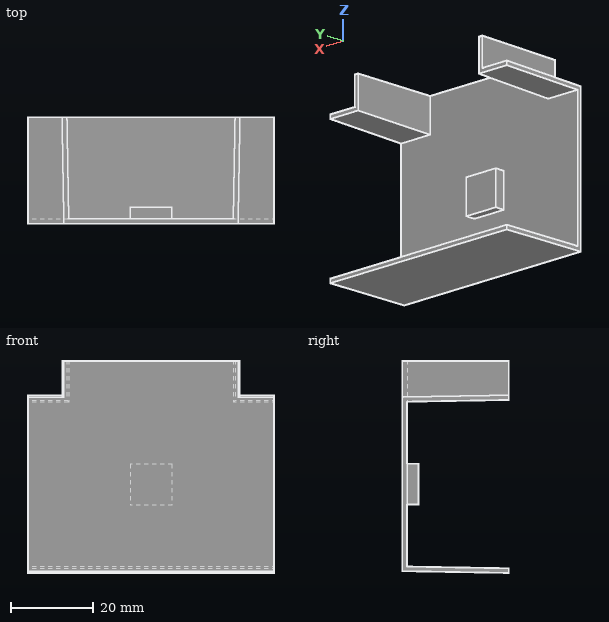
import cadquery as cq

length = 60.0
depth = 26.0
height = 51.7
open_width = 43.4
plate_width = 42.5
wall = 1.2
pad_side = 10.0
pad_height = 2.8

taper = (open_width - plate_width) / (2 * depth)
axis_z = open_width / 2


def half_width(y):
    """Outer half width of a channel at distance y from the front face."""
    return plate_width / 2 + taper * y


def section(plane, y_start, inset):
    """Trapezoid from y_start to the open edges, inset from the outer sides."""
    near = half_width(y_start) - inset
    far = half_width(depth) - inset
    outline = [(-near, y_start), (near, y_start), (far, depth), (-far, depth)]
    return cq.Workplane(plane).polyline(outline).close()


def tee(y_start, inset):
    """Straight and branch prisms joined into one tapered T."""
    straight_plane = cq.Plane(origin=(-length / 2, 0, axis_z), xDir=(0, 0, -1), normal=(1, 0, 0))
    branch_plane = cq.Plane(origin=(0, 0, axis_z), xDir=(1, 0, 0), normal=(0, 0, 1))
    straight = section(straight_plane, y_start, inset).extrude(length)
    branch = section(branch_plane, y_start, inset).extrude(height - axis_z)
    return straight.union(branch)


shell = tee(0, 0).cut(tee(wall, wall))

pad = (
    cq.Workplane("XY")
    .box(pad_side, pad_height + wall, pad_side, centered=(True, False, True))
    .translate((0, 0, axis_z))
)

result = shell.union(pad)